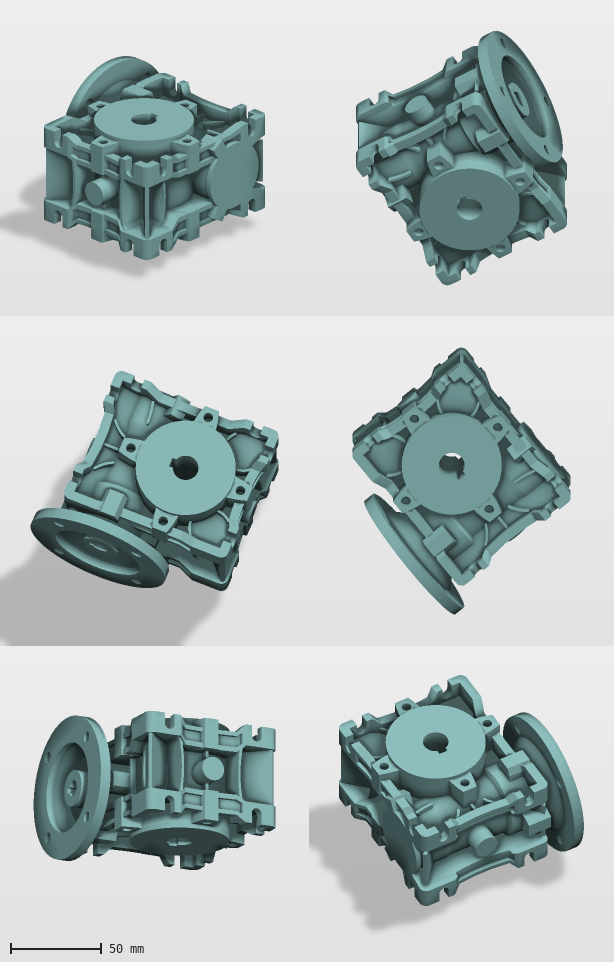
import cadquery as cq
import math

overall_depth = 110.0
housing_half_width = 40.0
worm_y = 30.0
flange_diameter = 80.0
flange_radius = flange_diameter / 2
front_y = worm_y + flange_radius - overall_depth
rear_y = 57.0
mid_y = (front_y + rear_y) / 2
half_depth = (rear_y - front_y) / 2
seat_x = -housing_half_width

block_size = 20.0
corner_radius = 4.0
wall = 5.2
front_notch_run = 4.2
front_notch_depth = 2.4
front_bow = 1.1
side_notch_run = 8.4
side_notch_depth = 2.6
top_levels = (23.8, 28.0)
under_levels = (12.2, 16.1)
floor_thickness = 1.2
floor_levels = (under_levels[0] + floor_thickness, under_levels[1] + floor_thickness)
rear_rise_start = 41.6
rear_rise_slope = 0.34
groove_top_levels = (21.3, 24.2)
groove_bottom_levels = (15.1, 18.2)
groove_depth = 2.2
groove_overrun = 2.6
side_groove_overrun = 7.2

slot_width = 6.0
slot_inset = 13.1
slot_bottom = 19.1
slot_clearance = 0.01

output_radius = 27.5
output_top = 29.0
cover_top = 31.5
shaft_radius = 11.0
output_bore_radius = 7.0
output_key_width = 5.2
output_key_reach = 8.9
ear_reach = 38.2
ear_tip_half_width = 4.2
ear_root_half_width = 6.7
ear_mid = (33.0, 5.6)
ear_bottom = 12.0
ear_embed = 2.2
ear_hole_circle = 32.6
ear_hole_radius = 2.6
ear_hole_depth = 9.9
drill_point_angle = 118.0

tube_radius = 17.2
input_tube_radius = 20.1
end_tube_radius = 17.8
end_collar_radius = 19.4
end_collar_length = 2.9
input_shoulder = (-20.2, -18.4)
end_shoulder = (15.0, 18.9)
input_boss_reach = 28.0
input_boss_length = 14.0
input_boss_half_width = 4.1
input_boss_root_half_width = 6.3
input_boss_step = 4.4
end_boss_length = 12.1
end_boss_reach = 26.2
end_boss_half_width = 4.1
end_boss_angle = 30.0

plug_radius = 6.7
web_thickness = 2.1
web_tip_inset = 2.0
web_length = 26.4
rib_thickness = 1.4
rib_top = 20.9
rear_rib_top = 18.5
rear_rib_y = (39.6, 48.4)
front_rib_reach = 32.8
side_rib_reach = 30.8
near_rib = ((-32.2, -16.3), (-28.3, -13.9), (-24.2, -12.9))
end_rib = ((19.8, 30.7), (25.8, 31.2), (31.9, 32.6))
rear_rib = ((-15.0, 48.0), (-11.0, 44.2), (-8.1, 39.8))

bowed_wall_foot = 2.4
front_wall_offset = 19.4
front_wall_bow = 1.2
front_wall_reach = 37.4
side_wall_offset = 19.1
side_wall_bow = 2.0
side_wall_reach = 31.4

flange_front = -54.0
flange_thickness = 6.0
neck_radius = 27.9
neck_end_radius = 20.0
recess_radius = 25.0
recess_straight = 4.4
recess_floor_radius = 18.8
recess_depth = 11.4
flange_hole_offset = 23.0
flange_hole_radius = 3.1

worm_radius = 10.1
worm_front = -50.6
worm_end = -26.4
worm_bore_radius = 4.5
worm_key_width = 3.3
worm_key_reach = 6.3
worm_bore_depth = 19.8

OVERSIZE = 220.0


def box(x0, x1, y0, y1, z0, z1):
    return cq.Workplane("XY").box(x1 - x0, y1 - y0, z1 - z0, centered=False).translate((x0, y0, z0))


def cylinder_x(radius, x0, x1, y=worm_y, z=0.0):
    return cq.Workplane("YZ", origin=(x0, y, z)).circle(radius).extrude(x1 - x0)


def prism_x(points, x0, x1):
    """Polygon of (Y, Z) points extruded along X."""
    return cq.Workplane("YZ", origin=(x0, 0, 0)).polyline(points).close().extrude(x1 - x0)


def both_sides(upper):
    """The upper shape together with its mirror image below Z = 0."""
    return upper.union(upper.mirror("XY"))


def tier_prism(inset):
    """Plan outline of the housing, moved inward by inset, as a tall prism."""
    block_x = housing_half_width - block_size
    block_y = half_depth - block_size
    x_out = housing_half_width
    y_out = half_depth
    band_y = y_out - front_notch_depth
    band_x = x_out - side_notch_depth
    slope_x = block_x - front_notch_run
    slope_y = block_y - side_notch_run
    wire = (
        cq.Workplane("XY")
        .moveTo(-slope_x, -band_y)
        .threePointArc((0, -band_y + front_bow), (slope_x, -band_y))
        .lineTo(block_x, -y_out)
        .lineTo(x_out, -y_out)
        .lineTo(x_out, -block_y)
        .lineTo(band_x, -slope_y)
        .lineTo(band_x, slope_y)
        .lineTo(x_out, block_y)
        .lineTo(x_out, y_out)
        .lineTo(block_x, y_out)
        .lineTo(slope_x, band_y)
        .threePointArc((0, band_y - front_bow), (-slope_x, band_y))
        .lineTo(-block_x, y_out)
        .lineTo(-x_out, y_out)
        .lineTo(-x_out, block_y)
        .lineTo(-band_x, slope_y)
        .lineTo(-band_x, -slope_y)
        .lineTo(-x_out, -block_y)
        .lineTo(-x_out, -y_out)
        .lineTo(-block_x, -y_out)
        .close()
    )
    if inset:
        wire = wire.offset2D(-inset, "intersection")
    return wire.extrude(top_levels[1]).translate((0, mid_y, 0))


def valley(levels, half_span, block_edge, run):
    """Closed (across, Z) profile: low between the blocks, high at the blocks."""
    low, high = levels
    return [
        (-half_span, 0), (-half_span, high), (-block_edge, high), (-block_edge + run, low),
        (block_edge - run, low), (block_edge, high), (half_span, high), (half_span, 0),
    ]


def terrain(levels):
    """Solid from Z = 0 up to a surface that is high at the four corners and low between them."""
    span = OVERSIZE / 2
    across_x = valley(levels, span, housing_half_width - block_size, front_notch_run)
    across_y = valley(levels, span, half_depth - block_size, side_notch_run)
    along_y = cq.Workplane("XZ").polyline(across_x).close().extrude(span, both=True)
    along_x = cq.Workplane("YZ").polyline(across_y).close().extrude(span, both=True)
    return along_y.intersect(along_x.translate((0, mid_y, 0)))


def rear_ramp(start_level, top_level):
    """Solid from Z = 0 up to a surface that is level at first and rises towards the rear."""
    rise_end = rear_rise_start + (top_level - start_level) / rear_rise_slope
    span = OVERSIZE / 2
    points = [
        (mid_y, 0), (mid_y, start_level), (rear_rise_start, start_level),
        (rise_end, top_level), (span, top_level), (span, 0),
    ]
    return prism_x(points, -span, span)


def sheet_surface(levels):
    """Solid from Z = 0 up to one face of the sheet that joins the tier walls."""
    span = OVERSIZE / 2
    front_half = box(-span, span, -span, mid_y, 0, span)
    return terrain(levels).intersect(front_half).union(rear_ramp(*levels))


def corner_pad(side):
    """Raised floor of a front corner, bounded by the two curved ribs."""
    outer, middle, inner = near_rib
    block_edge = housing_half_width - block_size
    pad = (
        cq.Workplane("XY")
        .moveTo(*outer)
        .threePointArc(middle, inner)
        .lineTo(inner[1], inner[0])
        .threePointArc((middle[1], middle[0]), (outer[1], outer[0]))
        .lineTo(-block_edge, front_y)
        .lineTo(-housing_half_width, front_y)
        .lineTo(-housing_half_width, -block_edge)
        .close()
        .extrude(floor_levels[1])
    )
    return pad if side < 0 else pad.mirror("YZ")


def tier_floor():
    """Everything below the floor surface inside the tier walls."""
    floor = sheet_surface(floor_levels)
    for side in (-1, 1):
        floor = floor.union(corner_pad(side))
    return floor


def band_grooves():
    """Shallow grooves along the outside of the four bands."""
    half_x = housing_half_width - block_size - front_notch_run + groove_overrun
    half_y = half_depth - block_size - side_notch_run + side_groove_overrun
    between_blocks = box(-half_x, half_x, -OVERSIZE, OVERSIZE, 0, OVERSIZE).union(
        box(-OVERSIZE, OVERSIZE, mid_y - half_y, mid_y + half_y, 0, OVERSIZE))
    skin = tier_prism(0).cut(tier_prism(groove_depth))
    height = terrain(groove_top_levels).cut(terrain(groove_bottom_levels))
    return skin.intersect(between_blocks).intersect(height)


def slot(x, y, along_y):
    """Round-bottomed slot through a block wall, open at the top."""
    radius = slot_width / 2
    plane = "XZ" if along_y else "YZ"
    rise = OVERSIZE / 2
    profile = (
        cq.Workplane(plane, origin=(x, y, slot_bottom + radius))
        .moveTo(-radius, rise)
        .lineTo(-radius, 0)
        .threePointArc((0, -radius), (radius, 0))
        .lineTo(radius, rise)
        .close()
    )
    return profile.extrude(wall + slot_clearance, both=True)


def upper_tier():
    rounded = tier_prism(0).intersect(
        box(-housing_half_width, housing_half_width, front_y, rear_y, 0, top_levels[1])
        .edges("|Z").fillet(corner_radius))
    inside = tier_prism(wall)
    tier = rounded.cut(inside).intersect(terrain(top_levels))
    tier = tier.union(inside.intersect(tier_floor())).cut(sheet_surface(under_levels))
    tier = tier.cut(band_grooves())
    slot_x = housing_half_width - slot_inset
    for x in (-slot_x, slot_x):
        for y in (front_y, rear_y):
            tier = tier.cut(slot(x, y, along_y=True))
    for y in (front_y + slot_inset, rear_y - slot_inset):
        tier = tier.cut(slot(housing_half_width, y, along_y=False))
    return tier


def ear(angle):
    """Lug on the output cylinder, bowed on both sides."""
    mid_reach, mid_half_width = ear_mid
    root = output_radius - ear_embed
    return (
        cq.Workplane("XY", origin=(0, 0, ear_bottom))
        .moveTo(root, -ear_root_half_width)
        .threePointArc((mid_reach, -mid_half_width), (ear_reach, -ear_tip_half_width))
        .lineTo(ear_reach, ear_tip_half_width)
        .threePointArc((mid_reach, mid_half_width), (root, ear_root_half_width))
        .close()
        .extrude(output_top - ear_bottom)
        .rotate((0, 0, 0), (0, 0, 1), angle)
    )


def ear_hole(angle):
    """Blind drilled hole with a conical end."""
    tip = ear_hole_radius / math.tan(math.radians(drill_point_angle / 2))
    floor = output_top - ear_hole_depth
    profile = [
        (0, output_top), (ear_hole_radius, output_top), (ear_hole_radius, floor), (0, floor - tip),
    ]
    return (
        cq.Workplane("XZ", origin=(ear_hole_circle, 0, 0))
        .polyline(profile).close()
        .revolve(360, (0, 0, 0), (0, 1, 0))
        .rotate((0, 0, 0), (0, 0, 1), angle)
    )


def worm_tube():
    collar_start = housing_half_width - end_collar_length
    profile = [
        (seat_x, 0), (seat_x, input_tube_radius), (input_shoulder[0], input_tube_radius),
        (input_shoulder[1], tube_radius), (end_shoulder[0], tube_radius),
        (end_shoulder[1], end_tube_radius), (collar_start, end_tube_radius),
        (collar_start, end_collar_radius), (housing_half_width, end_collar_radius),
        (housing_half_width, 0),
    ]
    return (
        cq.Workplane("XZ").polyline(profile).close()
        .revolve(360, (0, 0, 0), (1, 0, 0)).translate((0, worm_y, 0))
    )


def input_boss(angle):
    """Screw boss at the input end, pointing away from the worm axis."""
    shoulder = input_boss_reach - input_boss_step
    profile = [
        (-input_boss_root_half_width, 0), (-input_boss_root_half_width, shoulder),
        (-input_boss_half_width, input_boss_reach), (input_boss_half_width, input_boss_reach),
        (input_boss_root_half_width, shoulder), (input_boss_root_half_width, 0),
    ]
    boss = prism_x(profile, seat_x, seat_x + input_boss_length)
    return boss.rotate((0, 0, 0), (1, 0, 0), angle).translate((0, worm_y, 0))


def end_boss(angle):
    """Rectangular boss at the closed end of the tube."""
    boss = box(housing_half_width - end_boss_length, housing_half_width,
               -end_boss_half_width, end_boss_half_width, 0, end_boss_reach)
    return boss.rotate((0, 0, 0), (1, 0, 0), angle).translate((0, worm_y, 0))


def corner_web(side, end):
    """Diagonal web between the tiers, running inward from one corner."""
    tip_x = side * (housing_half_width - web_tip_inset)
    tip_y = mid_y + end * (half_depth - web_tip_inset)
    level = under_levels[1] if end < 0 else under_levels[0]
    angle = math.degrees(math.atan2(-end, -side))
    return (
        cq.Workplane("XY").box(web_length, web_thickness, 2 * level, centered=(False, True, True))
        .rotate((0, 0, 0), (0, 0, 1), angle).translate((tip_x, tip_y, 0))
    )


def bowed_wall_profile(offset, bow):
    """Closed (across, Z) profile of a thin wall bowed inward, with a filleted foot at each end."""
    half_height = under_levels[1]
    foot = bowed_wall_foot
    straight = half_height - foot
    edge = foot * (1 - math.sqrt(0.5))
    outer = -offset
    return (
        cq.Workplane("XZ")
        .moveTo(outer - foot, half_height)
        .threePointArc((outer - edge, half_height - edge), (outer, straight))
        .threePointArc((outer + bow, 0), (outer, -straight))
        .threePointArc((outer - edge, edge - half_height), (outer - foot, -half_height))
        .lineTo(outer + rib_thickness, -half_height)
        .threePointArc((outer + bow + rib_thickness, 0), (outer + rib_thickness, half_height))
        .close()
    )


def bowed_walls():
    """Walls on both sides of each front corner pocket, running outward from the cylinder."""
    front = bowed_wall_profile(front_wall_offset, front_wall_bow).extrude(front_wall_reach)
    side = bowed_wall_profile(side_wall_offset, side_wall_bow).extrude(side_wall_reach)
    left = front.union(side.mirror("XZ").rotate((0, 0, 0), (0, 0, 1), 90))
    return left.union(left.mirror("YZ"))


def curved_rib(points, top):
    """Thin upright rib along an arc given by its start, middle and end."""
    start, middle, finish = points
    path = cq.Workplane("XY").moveTo(*start).threePointArc(middle, finish)
    return path.offset2D(rib_thickness / 2).extrude(top)


def floor_ribs():
    """Thin ribs standing on the tier floor."""
    across_diagonal = tuple((y, x) for x, y in near_rib)
    half_rib = rib_thickness / 2
    ribs = box(-half_rib, half_rib, *rear_rib_y, 0, rear_rib_top)
    for points, top in ((near_rib, rib_top), (across_diagonal, rib_top), (rear_rib, rear_rib_top)):
        rib = curved_rib(points, top)
        ribs = ribs.union(rib).union(rib.mirror("YZ"))
    ribs = ribs.union(curved_rib(end_rib, rib_top))
    return ribs.cut(sheet_surface(under_levels))


def make_housing():
    body = cq.Workplane("XY").circle(output_radius).extrude(output_top, both=True)
    body = body.union(worm_tube())
    body = body.union(both_sides(upper_tier().union(floor_ribs())))
    for angle in (0, 90, 180, 270):
        body = body.union(both_sides(ear(angle)))
        body = body.union(input_boss(angle))
    for angle in (end_boss_angle, 180 - end_boss_angle):
        body = body.union(end_boss(angle))
    for side in (-1, 1):
        for end in (-1, 1):
            body = body.union(corner_web(side, end))
    body = body.union(bowed_walls())
    body = body.union(cq.Workplane("XZ", origin=(0, rear_y, 0)).circle(plug_radius).extrude(2 * half_depth))
    half_rib = rib_thickness / 2
    low = under_levels[0]
    body = body.union(box(-half_rib, half_rib, -front_rib_reach, -shaft_radius, -low, low))
    body = body.union(box(-side_rib_reach, -shaft_radius, -half_rib, half_rib, -low, low))
    for angle in (0, 90, 180, 270):
        body = body.cut(both_sides(ear_hole(angle)))
    body = body.cut(cq.Workplane("XY").circle(shaft_radius).extrude(output_top, both=True))
    return body.cut(cylinder_x(worm_radius, seat_x, worm_end))


def make_output_shaft():
    """Hollow shaft with a round cover at each end and a keyed bore."""
    shaft = cq.Workplane("XY").circle(shaft_radius).extrude(cover_top, both=True)
    cover_plane = cq.Workplane("XY", origin=(0, 0, output_top))
    cover = cover_plane.circle(output_radius).extrude(cover_top - output_top)
    shaft = shaft.union(both_sides(cover))
    shaft = shaft.cut(cq.Workplane("XY").circle(output_bore_radius).extrude(cover_top, both=True))
    half_key = output_key_width / 2
    return shaft.cut(box(-half_key, half_key, 0, output_key_reach, -cover_top, cover_top))


def make_input_flange():
    """Motor flange with a stepped recess and four holes, turned about the worm axis."""
    plate_back = flange_front + flange_thickness
    recess_floor = flange_front + recess_depth
    profile = [
        (flange_front, recess_radius), (flange_front, flange_radius), (plate_back, flange_radius),
        (plate_back, neck_radius), (seat_x, neck_end_radius), (seat_x, worm_radius),
        (recess_floor, worm_radius), (recess_floor, recess_floor_radius),
        (flange_front + recess_straight, recess_radius),
    ]
    flange = (
        cq.Workplane("XZ").polyline(profile).close()
        .revolve(360, (0, 0, 0), (1, 0, 0)).translate((0, worm_y, 0))
    )
    for dy in (-flange_hole_offset, flange_hole_offset):
        for z in (-flange_hole_offset, flange_hole_offset):
            flange = flange.cut(cylinder_x(flange_hole_radius, flange_front, plate_back, worm_y + dy, z))
    return flange


def make_worm():
    """Worm sleeve with a blind keyed bore."""
    bore_end = worm_front + worm_bore_depth
    half_key = worm_key_width / 2
    worm = cylinder_x(worm_radius, worm_front, worm_end)
    worm = worm.cut(cylinder_x(worm_bore_radius, worm_front, bore_end))
    return worm.cut(box(worm_front, bore_end, worm_y, worm_y + worm_key_reach, -half_key, half_key))


housing = make_housing()
output_shaft = make_output_shaft()
input_flange = make_input_flange()
worm = make_worm()
bodies = [housing, output_shaft, input_flange, worm]
result = cq.Compound.makeCompound([body.solids().val() for body in bodies])